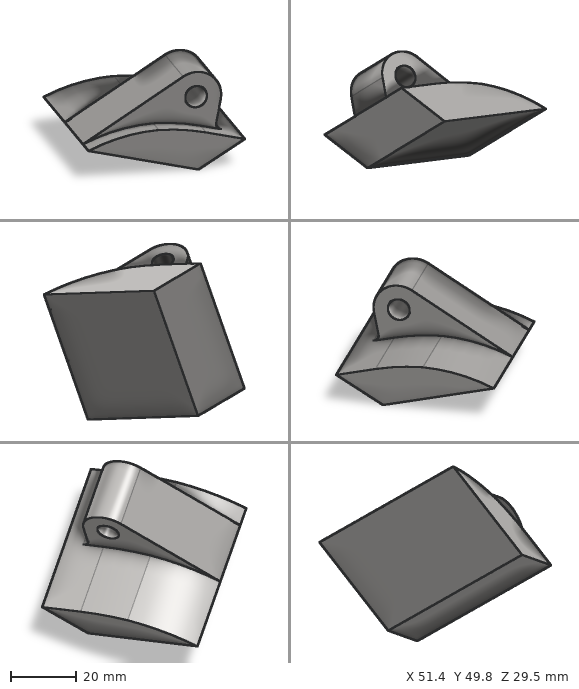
import cadquery as cq
import math

width = 51.4
depth = 49.8
keel_y = 34.95
front_slope = 15.0
back_slope = 30.0
roof_slope = 15.0
roof_flat_end_y = 37.45
crest_y = 22.35
crest_z = 14.1

lug_start_x = 24.1
lug_width = 20.95
eye_y = 36.0
eye_z = 21.45
eye_radius = 8.0
hole_radius = 3.45
rear_lean = 11.0
root_fillet = 2.05


def slope(degrees):
    return math.tan(math.radians(degrees))


front_z = keel_y * slope(front_slope)
back_z = (depth - keel_y) * slope(back_slope)


def roof_line_z(y):
    """Height of the straight rear roof line at y."""
    return back_z + (depth - y) * slope(roof_slope)


def eye_point(angle):
    """Point on the lug's rounded end, angle in radians from +Y towards +Z."""
    return eye_y + eye_radius * math.cos(angle), eye_z + eye_radius * math.sin(angle)


def make_base():
    nose_drop = crest_z - front_z
    nose_radius = (crest_y**2 + nose_drop**2) / (2 * nose_drop)
    half_sweep = math.asin(crest_y / nose_radius) / 2
    nose_middle = (
        crest_y - nose_radius * math.sin(half_sweep),
        crest_z - nose_radius * (1 - math.cos(half_sweep)),
    )
    return (
        cq.Workplane("YZ")
        .moveTo(0, front_z)
        .lineTo(keel_y, 0)
        .lineTo(depth, back_z)
        .lineTo(roof_flat_end_y, roof_line_z(roof_flat_end_y))
        .tangentArcPoint((crest_y, crest_z), relative=False)
        .threePointArc(nose_middle, (0, front_z))
        .close()
        .extrude(width)
    )


def make_lug():
    rise = eye_z - front_z
    face_angle = math.atan2(rise, eye_y) + math.asin(eye_radius / math.hypot(eye_y, rise))
    front_tangent = eye_point(math.pi / 2 + face_angle)
    rear_tangent = eye_point(-math.radians(rear_lean))

    lean = slope(rear_lean)
    drop = (rear_tangent[1] - roof_line_z(rear_tangent[0])) / (1 + lean * slope(roof_slope))
    root = (rear_tangent[0] - drop * lean, rear_tangent[1] - drop)

    lean_angle = math.radians(rear_lean)
    roof_angle = math.radians(roof_slope)
    wall_direction = (math.sin(lean_angle), math.cos(lean_angle))
    roof_direction = (math.cos(roof_angle), -math.sin(roof_angle))
    corner_angle = math.pi / 2 - lean_angle + roof_angle
    reach = root_fillet / math.tan(corner_angle / 2)
    fillet_top = (root[0] + reach * wall_direction[0], root[1] + reach * wall_direction[1])
    fillet_end = (root[0] + reach * roof_direction[0], root[1] + reach * roof_direction[1])

    return (
        cq.Workplane("YZ", origin=(lug_start_x, 0, 0))
        .moveTo(0, front_z)
        .lineTo(*front_tangent)
        .threePointArc(eye_point(math.pi / 4), rear_tangent)
        .lineTo(*fillet_top)
        .tangentArcPoint(fillet_end, relative=False)
        .lineTo(keel_y, front_z)
        .close()
        .extrude(lug_width)
    )


def make_hole():
    return (
        cq.Workplane("YZ", origin=(lug_start_x, 0, 0))
        .center(eye_y, eye_z)
        .circle(hole_radius)
        .extrude(lug_width)
    )


result = make_base().union(make_lug()).cut(make_hole())